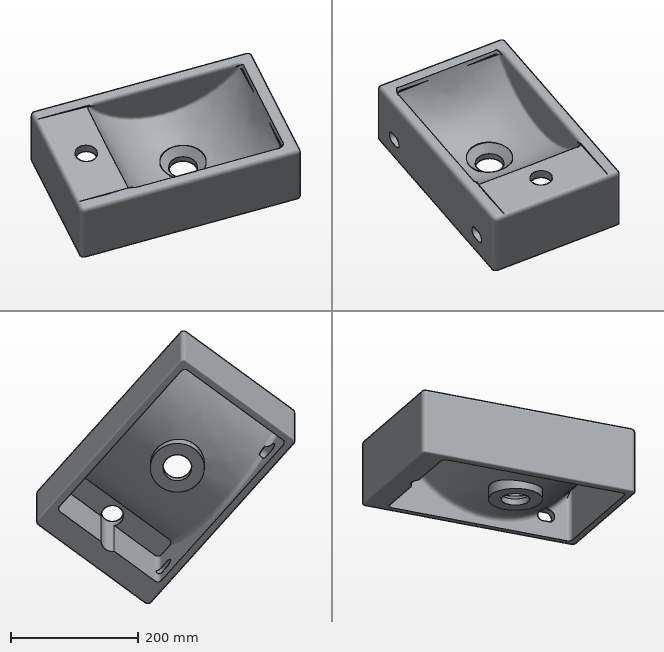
import cadquery as cq
WIDTH = 229.78
LENGTH = 370.0
HEIGHT = 110.0
EDGE_RADIUS = 7.0
BOTTOM_EDGE_RADIUS = 2.5

BASIN_WIDTH = 188.0
BASIN_FRONT_Y = -99.0
BASIN_BACK_Y = 164.5
BASIN_MIDDLE_LOW_Z = 23.5
BASIN_SIDE_LOW_Z = 42.0
BASIN_FLOOR_RADIUS = 5.0

MOUTH_FRONT_Y = -99.0
MOUTH_BACK_Y = 167.0
MOUTH_RADIUS = 6.0
MOUTH_DEPTH = 7.0
MOUTH_CORNER_RADIUS = 15.0

DECK_DROP = 2.6
DECK_EDGE_Z = HEIGHT - DECK_DROP
DECK_FRONT_Y = -LENGTH / 2
DECK_BACK_Y = BASIN_FRONT_Y + MOUTH_RADIUS
TAP_HOLE_DIAMETER = 35.0
TAP_HOLE_Y = -133.5

SIDE_WALL = 12.0
TAP_END_WALL = 40.0
DECK_THICKNESS = 14.0
FLOOR_THICKNESS = 6.5
BASIN_END_THICKNESS = 20.0
CAVITY_CORNER_RADIUS = 7.0
UNDERSIDE_RADIUS = 7.0

DRAIN_Y = 29.0
DRAIN_DIAMETER = 45.0
DRAIN_SEAT_DIAMETER = 73.0
DRAIN_BOSS_WALL = 6.0
DRAIN_BOSS_LOW_Z = 4.5
DRAIN_SEAT_LOW_Z = 15.0
DRAIN_SEAT_HIGH_Z = 26.0

SLOT_LENGTH = 30.0
SLOT_HEIGHT = 20.0
SLOT_Y = 130.0
SLOT_Z = 37.0


def rounded_box(width, front, back, low_z, high_z, corner_radius):
    """Upright box with rounded vertical edges, centred on X = 0."""
    return (
        cq.Workplane("XY", origin=(0, (front + back) / 2, low_z))
        .rect(width, back - front)
        .extrude(high_z - low_z)
        .edges("|Z")
        .fillet(corner_radius)
    )


def outer_block():
    block = rounded_box(WIDTH, -LENGTH / 2, LENGTH / 2, 0, HEIGHT, EDGE_RADIUS)
    block = block.faces(">Z").edges().fillet(EDGE_RADIUS)
    return block.faces("<Z").edges().fillet(BOTTOM_EDGE_RADIUS)


def dish(width, middle_low_z, side_low_z, end_offset):
    """Dish made of arcs along Y that reach the top plane end_offset beyond both basin ends."""
    front = BASIN_FRONT_Y - end_offset
    back = BASIN_BACK_Y + end_offset
    middle = (front + back) / 2
    sections = []
    for x, low_z in ((-width / 2, side_low_z), (0, middle_low_z), (width / 2, side_low_z)):
        section = (
            cq.Workplane("YZ", origin=(x, 0, 0))
            .moveTo(front, HEIGHT)
            .threePointArc((middle, low_z), (back, HEIGHT))
            .close()
        )
        sections.append(section.val())
    return cq.Workplane(cq.Solid.makeLoft(sections))


def round_side_curves(body, radius):
    """Round the curved edges of the two side faces of a body."""
    for side in (">X", "<X"):
        body = body.faces(side).edges("not %LINE").fillet(radius)
    return body


def basin():
    return round_side_curves(
        dish(BASIN_WIDTH, BASIN_MIDDLE_LOW_Z, BASIN_SIDE_LOW_Z, 0), BASIN_FLOOR_RADIUS
    )


def open_mouth(block):
    """Shallow rounded opening above the basin, with its top edge rounded outwards."""
    throat = rounded_box(
        BASIN_WIDTH,
        MOUTH_FRONT_Y + MOUTH_RADIUS,
        MOUTH_BACK_Y - MOUTH_RADIUS,
        HEIGHT - MOUTH_DEPTH,
        HEIGHT,
        MOUTH_CORNER_RADIUS - MOUTH_RADIUS,
    )
    half_width = BASIN_WIDTH / 2 + 1
    rim = cq.selectors.BoxSelector(
        (-half_width, MOUTH_FRONT_Y, HEIGHT - 1), (half_width, MOUTH_BACK_Y, HEIGHT + 1)
    )
    return block.cut(throat).edges(rim).fillet(MOUTH_RADIUS)


def deck_fall():
    """Thin wedge between the level top and the sloping tap deck."""
    return (
        cq.Workplane("YZ", origin=(-BASIN_WIDTH / 2, 0, 0))
        .moveTo(DECK_FRONT_Y, HEIGHT)
        .lineTo(DECK_BACK_Y, DECK_EDGE_Z)
        .lineTo(DECK_BACK_Y, HEIGHT)
        .close()
        .extrude(BASIN_WIDTH)
    )


def cavity():
    """Hollow below the deck and the basin, open at the bottom, with a boss around the drain."""
    width = WIDTH - 2 * SIDE_WALL
    front = -LENGTH / 2 + TAP_END_WALL
    back = LENGTH / 2 - SIDE_WALL
    top = DECK_EDGE_Z - DECK_THICKNESS
    underside_low_z = BASIN_MIDDLE_LOW_Z - FLOOR_THICKNESS
    room = cq.Workplane("XY").box(width, 2 * back, top, centered=(True, True, False))
    room = room.cut(dish(WIDTH, underside_low_z, underside_low_z, BASIN_END_THICKNESS))
    room = round_side_curves(room, UNDERSIDE_RADIUS)
    room = room.intersect(rounded_box(width, front, back, 0, top, CAVITY_CORNER_RADIUS))
    drain_boss = (
        cq.Workplane("XY", origin=(0, DRAIN_Y, DRAIN_BOSS_LOW_Z))
        .circle(DRAIN_SEAT_DIAMETER / 2 + DRAIN_BOSS_WALL)
        .extrude(top)
    )
    return room.cut(drain_boss)


def tap_hole():
    return cq.Workplane("XY").center(0, TAP_HOLE_Y).circle(TAP_HOLE_DIAMETER / 2).extrude(HEIGHT)


def drain():
    """Through hole below a conical seat."""
    hole_radius = DRAIN_DIAMETER / 2
    seat_radius = DRAIN_SEAT_DIAMETER / 2
    half_section = (
        cq.Workplane("XZ", origin=(0, DRAIN_Y, 0))
        .lineTo(hole_radius, 0)
        .lineTo(hole_radius, DRAIN_SEAT_LOW_Z)
        .lineTo(seat_radius, DRAIN_SEAT_HIGH_Z)
        .lineTo(seat_radius, HEIGHT)
        .lineTo(0, HEIGHT)
        .close()
    )
    return half_section.revolve(360, (0, 0, 0), (0, 1, 0))


def fixing_slots():
    """Two slots through the wall, deep enough to clear the rounded cavity corner."""
    depth = SIDE_WALL + CAVITY_CORNER_RADIUS
    return (
        cq.Workplane("YZ", origin=(-WIDTH / 2, 0, 0))
        .pushPoints([(-SLOT_Y, SLOT_Z), (SLOT_Y, SLOT_Z)])
        .slot2D(SLOT_LENGTH, SLOT_HEIGHT)
        .extrude(depth)
    )


result = open_mouth(outer_block())
for feature in (cavity, basin, deck_fall, tap_hole, drain, fixing_slots):
    result = result.cut(feature())